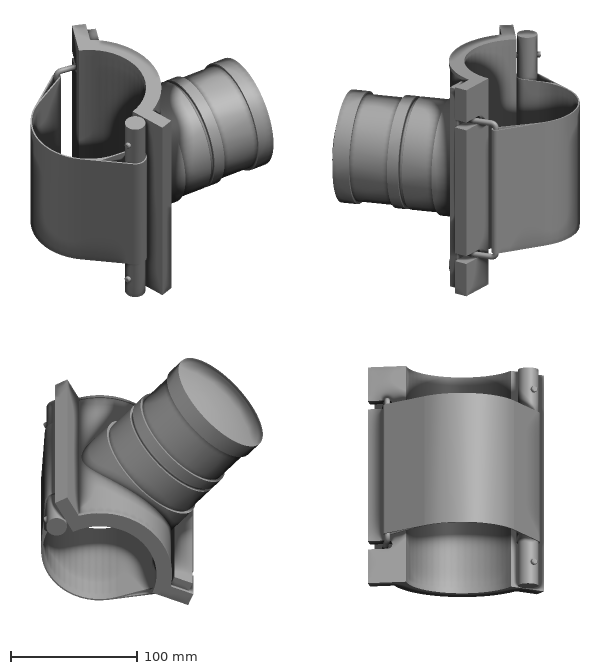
import cadquery as cq
import math


HEIGHT = 176.0
BORE_RADIUS = 90.0 / 2
SADDLE_RADIUS = 56.5
RIM_RADIUS = 57.3
RIM_HEIGHT = 3.0
FLANGE_ANGLE = 20.0
FLANGE_REACH = 75.5
FLANGE_THICKNESS = 11.0

BAR_INNER = 56.3
BAR_OUTER = 71.8
BAR_THICKNESS = 7.5
SLOT_WIDTH = 6.7
SLOT_INNER_END = 56.0
HOOK_Z = 57.1

BASE_DIAMETER = 94.5
SOCKET_DIAMETER = 90.0
PIPE_DIAMETER = 85.5
RING_DIAMETER = 87.0
BASE_TOP = 60.8
RING_BOTTOM = 85.5
RING_TOP = 88.9
COLLAR_TOP = 98.0
CAP_BOTTOM = 129.1
CAP_EDGE = 142.7
DOME_TIP = 150.0

STRAP_THICKNESS = 1.2
STRAP_OUTER = 46.3
STRAP_INNER = STRAP_OUTER - STRAP_THICKNESS
STRAP_WIDTH = 105.2

ROD_RADIUS = 16.3 / 2
ROD_REACH = 55.3
ROD_DROP = ROD_RADIUS + STRAP_THICKNESS
BOLT_DIAMETER = 5.0
BOLT_PROTRUSION = 2.5
BOLT_CHAMFER = 0.5
BOLT_Z = 70.3

WIRE_RADIUS = 4.5 / 2
WIRE_X = -59.3
WIRE_Y = 4.7
WIRE_BEND = 4.0
LEG_LEAN = 6.7
LEG_LENGTH = 31.4


def polar(radius, degrees, center=(0, 0)):
    angle = math.radians(degrees)
    return (center[0] + radius * math.cos(angle), center[1] + radius * math.sin(angle))


def slab(height):
    """Sketch plane for a prism of the given height centred on Z = 0."""
    return cq.Workplane("XY").workplane(offset=-height / 2)


def flange_box(inner, outer, bottom, top, height):
    """Box in right-flange directions: outward along the flange, then up from its underside."""
    box = slab(height).moveTo(inner, bottom).rect(outer - inner, top - bottom, centered=False)
    return box.extrude(height).rotate((0, 0, 0), (0, 0, 1), FLANGE_ANGLE)


def sector(radius, height):
    """Solid ring sector between the radial undersides of the two flanges."""
    right, left = FLANGE_ANGLE, 180 - FLANGE_ANGLE
    outline = (
        slab(height)
        .moveTo(*polar(BORE_RADIUS, right))
        .lineTo(*polar(radius, right))
        .threePointArc((0, radius), polar(radius, left))
        .lineTo(*polar(BORE_RADIUS, left))
        .threePointArc((0, BORE_RADIUS), polar(BORE_RADIUS, right))
    )
    return outline.close().extrude(height)


def make_branch():
    base, socket, pipe = BASE_DIAMETER / 2, SOCKET_DIAMETER / 2, PIPE_DIAMETER / 2
    ring_radius = RING_DIAMETER / 2
    ring_side = ring_radius - (RING_TOP - RING_BOTTOM) / 2
    dome_rise = DOME_TIP - CAP_EDGE
    dome_radius = (socket ** 2 + dome_rise ** 2) / (2 * dome_rise)
    mid_x = socket / 2
    dome_mid = (mid_x, DOME_TIP - dome_radius + math.sqrt(dome_radius ** 2 - mid_x ** 2))
    profile = (
        cq.Workplane("XY")
        .lineTo(base, 0)
        .lineTo(base, BASE_TOP)
        .lineTo(socket, BASE_TOP)
        .lineTo(socket, RING_BOTTOM)
        .lineTo(ring_side, RING_BOTTOM)
        .threePointArc((ring_radius, (RING_BOTTOM + RING_TOP) / 2), (ring_side, RING_TOP))
        .lineTo(socket, RING_TOP)
        .lineTo(socket, COLLAR_TOP)
        .lineTo(pipe, COLLAR_TOP)
        .lineTo(pipe, CAP_BOTTOM)
        .lineTo(socket, CAP_BOTTOM)
        .lineTo(socket, CAP_EDGE)
        .threePointArc(dome_mid, (0, DOME_TIP))
        .close()
    )
    branch = profile.revolve(360, (0, 0, 0), (0, 1, 0))
    return branch.cut(slab(HEIGHT).circle((BORE_RADIUS + SADDLE_RADIUS) / 2).extrude(HEIGHT))


def make_hook_slot(z):
    radius = SLOT_WIDTH / 2
    end_center = SLOT_INNER_END + radius
    round_end = cq.Workplane("XZ").center(end_center, 0)
    round_end = round_end.circle(radius).extrude(-FLANGE_THICKNESS)
    round_end = round_end.rotate((0, 0, 0), (0, 0, 1), FLANGE_ANGLE)
    channel = flange_box(end_center, FLANGE_REACH, 0, FLANGE_THICKNESS, SLOT_WIDTH)
    return channel.union(round_end).mirror("YZ").translate((0, 0, z))


def make_saddle():
    saddle = sector(SADDLE_RADIUS, HEIGHT)
    flange_root = (BORE_RADIUS + SADDLE_RADIUS) / 2
    flange = flange_box(flange_root, FLANGE_REACH, 0, FLANGE_THICKNESS, HEIGHT)
    saddle = saddle.union(flange).union(flange.mirror("YZ"))
    rim = sector(RIM_RADIUS, RIM_HEIGHT)
    rim_z = (HEIGHT - RIM_HEIGHT) / 2
    for side in (-1, 1):
        saddle = saddle.union(rim.translate((0, 0, side * rim_z)))
        saddle = saddle.cut(make_hook_slot(side * HOOK_Z))
    bar_top = FLANGE_THICKNESS + BAR_THICKNESS
    bar = flange_box(BAR_INNER, BAR_OUTER, FLANGE_THICKNESS, bar_top, HEIGHT - 2 * RIM_HEIGHT)
    return saddle.union(bar.mirror("YZ")).union(make_branch())


def tangent_angle(center, radius_sum, side):
    """Angle of the normal to a tangent of the strap circle and a loop circle.

    radius_sum is strap radius minus loop radius for an outer tangent, or plus for a crossing one.
    side is +1 for the right loop and -1 for the left one; both tangents lie below the loop.
    """
    swing = math.degrees(math.acos(radius_sum / math.hypot(*center)))
    return math.degrees(math.atan2(center[1], center[0])) - side * swing


def loop_angles(center, radius, side):
    """Normals of the outer and the crossing tangent that form one strap loop."""
    outer = tangent_angle(center, STRAP_OUTER - radius, side)
    crossing = tangent_angle(center, STRAP_INNER + radius, side)
    return outer, crossing


def loop_opening(center, radius, side):
    """Wedge between the two strands of a loop, reaching in to the loop centre."""
    outer = tangent_angle(center, STRAP_INNER - radius, side)
    crossing = tangent_angle(center, STRAP_OUTER + radius, side)
    a, b = math.radians(outer), math.radians(crossing)
    determinant = math.sin(b - a)
    apex = (
        (STRAP_INNER * math.sin(b) - STRAP_OUTER * math.sin(a)) / determinant,
        (STRAP_OUTER * math.cos(a) - STRAP_INNER * math.cos(b)) / determinant,
    )
    corners = [center, polar(radius, outer, center), apex, polar(-radius, crossing, center)]
    return slab(STRAP_WIDTH).polyline(corners).close().extrude(STRAP_WIDTH)


def make_band(rod_center, wire_center):
    rod_loop = ROD_RADIUS + STRAP_THICKNESS
    wire_loop = WIRE_RADIUS + STRAP_THICKNESS
    rod_outer, rod_crossing = loop_angles(rod_center, rod_loop, 1)
    wire_outer, wire_crossing = loop_angles(wire_center, wire_loop, -1)
    rod_far = (rod_outer + rod_crossing + 180) / 2
    wire_far = (wire_outer + wire_crossing - 180) / 2
    band = (
        slab(STRAP_WIDTH)
        .moveTo(*polar(STRAP_OUTER, wire_outer))
        .threePointArc((0, -STRAP_OUTER), polar(STRAP_OUTER, rod_outer))
        .lineTo(*polar(rod_loop, rod_outer, rod_center))
        .threePointArc(polar(rod_loop, rod_far, rod_center), polar(-rod_loop, rod_crossing, rod_center))
        .lineTo(*polar(STRAP_INNER, rod_crossing))
        .threePointArc((0, -STRAP_INNER), polar(STRAP_INNER, wire_crossing))
        .lineTo(*polar(-wire_loop, wire_crossing, wire_center))
        .threePointArc(polar(wire_loop, wire_far, wire_center), polar(wire_loop, wire_outer, wire_center))
        .close()
        .extrude(STRAP_WIDTH)
    )
    band = band.cut(loop_opening(rod_center, ROD_RADIUS, 1))
    return band.cut(loop_opening(wire_center, WIRE_RADIUS, -1))


def make_hook_wire(wire_center):
    """U-shaped round wire, drawn along +Y and then leaned toward the pipe axis."""
    straight = HOOK_Z - WIRE_BEND
    bend_mid = WIRE_BEND * math.sqrt(0.5)
    path = (
        cq.Workplane("YZ")
        .moveTo(LEG_LENGTH, -HOOK_Z)
        .lineTo(WIRE_BEND, -HOOK_Z)
        .threePointArc((WIRE_BEND - bend_mid, -straight - bend_mid), (0, -straight))
        .lineTo(0, straight)
        .threePointArc((WIRE_BEND - bend_mid, straight + bend_mid), (WIRE_BEND, HOOK_Z))
        .lineTo(LEG_LENGTH, HOOK_Z)
    )
    section = cq.Workplane("XZ", origin=(0, LEG_LENGTH, -HOOK_Z)).circle(WIRE_RADIUS)
    wire = section.sweep(path).rotate((0, 0, 0), (0, 0, 1), -LEG_LEAN)
    return wire.translate((*wire_center, 0))


def make_bolt(z):
    """Bolt square to the flange, from its underside through the rod."""
    length = ROD_DROP + ROD_RADIUS + BOLT_PROTRUSION
    bolt = cq.Workplane("XZ", origin=(ROD_REACH, 0, z)).circle(BOLT_DIAMETER / 2).extrude(length)
    return bolt.faces("<Y").chamfer(BOLT_CHAMFER).rotate((0, 0, 0), (0, 0, 1), FLANGE_ANGLE)


def make_strap(saddle):
    rod_center = polar(ROD_DROP, FLANGE_ANGLE - 90, polar(ROD_REACH, FLANGE_ANGLE))
    wire_center = (WIRE_X, WIRE_Y)
    rod = slab(HEIGHT).center(*rod_center).circle(ROD_RADIUS).extrude(HEIGHT)
    wire = make_hook_wire(wire_center).cut(saddle)
    strap = make_band(rod_center, wire_center).union(rod).union(wire)
    for side in (-1, 1):
        strap = strap.union(make_bolt(side * BOLT_Z))
    return strap


saddle = make_saddle()
strap = make_strap(saddle)
result = cq.Compound.makeCompound([saddle.solids().val(), strap.solids().val()])